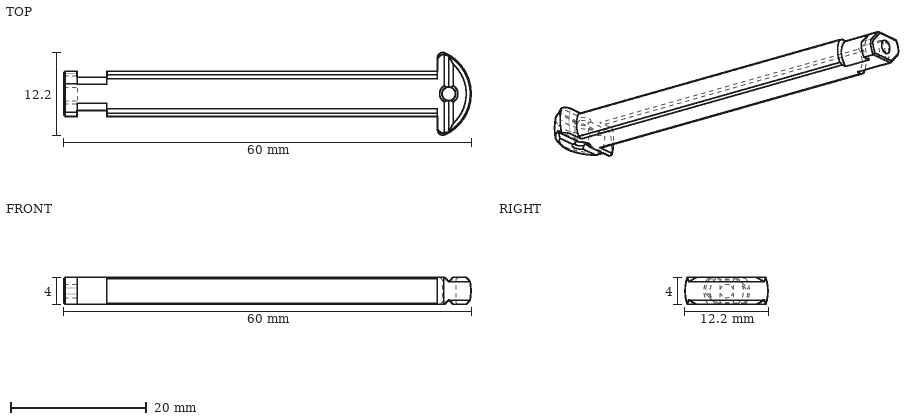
import cadquery as cq
import math

length = 60.0
thickness = 4.0
half_thickness = thickness / 2

shaft_radius = 3.35
shaft_start = 6.35
flat_half_width = 2.2
bevel_bottom = 1.8

lug_length = 2.0
neck_radius = 2.45
lug_corner_radius = 1.1
lug_end_chamfer = 0.25

head_radius = 6.1
head_start = 55.0
rim_fillet = 0.9
edge_chamfer_flat = 0.4
edge_chamfer_dome = 0.65

hole_diameter = 2.0
hole_x = 56.7
end_hole_depth = lug_length
countersink_diameter = 2.7
groove_half_width = 0.65
groove_depth = 0.65


def flat_slab():
    """Wide block that ends at the part's flat top and bottom."""
    return cq.Workplane("XY").box(4 * length, 4 * length, thickness)


def rod(radius, start, end):
    """Round bar along X, cut flat at the top and bottom of the part."""
    bar = cq.Workplane("YZ", origin=(start, 0, 0)).circle(radius).extrude(end - start)
    return bar.intersect(flat_slab())


def make_shaft():
    """Flattened bar with a bevel along each of its four long edges."""
    bevel_half_width = math.sqrt(shaft_radius**2 - bevel_bottom**2)
    outline = (
        cq.Workplane("YZ", origin=(shaft_start, 0, 0))
        .moveTo(-flat_half_width, half_thickness)
        .lineTo(flat_half_width, half_thickness)
        .lineTo(bevel_half_width, bevel_bottom)
        .threePointArc((shaft_radius, 0), (bevel_half_width, -bevel_bottom))
        .lineTo(flat_half_width, -half_thickness)
        .lineTo(-flat_half_width, -half_thickness)
        .lineTo(-bevel_half_width, -bevel_bottom)
        .threePointArc((-shaft_radius, 0), (-bevel_half_width, bevel_bottom))
        .close()
    )
    return outline.extrude(hole_x - shaft_start)


def make_lug():
    """End lug: two opposite corners are cut off at 45 degrees, tangent to the neck."""
    lug = rod(shaft_radius, 0, lug_length)
    tangent_slab = (
        cq.Workplane("XY")
        .box(4 * lug_length, 4 * shaft_radius, 2 * neck_radius)
        .rotate((0, 0, 0), (1, 0, 0), -45)
    )
    neck = rod(neck_radius, 0, lug_length)
    lug = lug.intersect(tangent_slab).union(neck)
    for side in (1, -1):
        corner = cq.selectors.NearestToPointSelector((lug_length / 2, side * shaft_radius, 0))
        lug = lug.edges("|X").edges(corner).fillet(lug_corner_radius)
    return lug.faces("<X").chamfer(lug_end_chamfer)


def make_head():
    """Disc about X with a spherical dome, cut flat above and below.

    The dome's two edges are chamfered only beyond the axis of the cross hole.
    """
    dome_start = head_start + rim_fillet
    dome_height = length - dome_start
    dome_radius = (dome_height**2 + head_radius**2) / (2 * dome_height)
    dome = cq.Workplane("XY").sphere(dome_radius).rotate((0, 0, 0), (0, 0, 1), 180)
    dome = dome.translate((length - dome_radius, 0, 0)).intersect(flat_slab())
    disc = cq.Workplane("YZ", origin=(head_start, 0, 0)).circle(head_radius).extrude(2 * dome_height)
    head = disc.faces("<X").edges().fillet(rim_fillet).intersect(dome)
    upper_edge = cq.selectors.NearestToPointSelector((length, 0, half_thickness))
    chamfered_head = head.edges(upper_edge).chamfer(edge_chamfer_flat, edge_chamfer_dome)
    outer_block = cq.Workplane("YZ", origin=(hole_x, 0, 0)).rect(4 * head_radius, 2 * thickness).extrude(length)
    upper_block = cq.Workplane("XY").rect(4 * length, 4 * head_radius).extrude(thickness)
    upper_tip = chamfered_head.intersect(outer_block).intersect(upper_block)
    return head.cut(outer_block).union(upper_tip).union(upper_tip.mirror("XY"))


def make_groove(side):
    """V groove across the head on its top (side 1) or bottom (side -1)."""
    surface = side * half_thickness
    return (
        cq.Workplane("XZ")
        .moveTo(hole_x - groove_half_width, surface)
        .lineTo(hole_x, surface - side * groove_depth)
        .lineTo(hole_x + groove_half_width, surface)
        .close()
        .extrude(2 * head_radius, both=True)
    )


def make_countersink(side):
    """45 degree cone at the top (side 1) or bottom (side -1) mouth of the cross hole."""
    radius = countersink_diameter / 2
    mouth = cq.Vector(hole_x, 0, side * half_thickness)
    return cq.Workplane(cq.Solid.makeCone(radius, 0, radius, mouth, cq.Vector(0, 0, -side)))


neck = rod(neck_radius, lug_length, shaft_start)
pin = make_shaft().union(neck).union(make_lug()).union(make_head())

for side in (1, -1):
    pin = pin.cut(make_groove(side)).cut(make_countersink(side))

hole_radius = hole_diameter / 2
cross_hole = cq.Workplane("XY", origin=(hole_x, 0, -half_thickness)).circle(hole_radius).extrude(thickness)
end_hole = cq.Workplane("YZ").circle(hole_radius).extrude(end_hole_depth)
pin = pin.cut(cross_hole).cut(end_hole)

result = cq.Workplane(pin.solids().val())